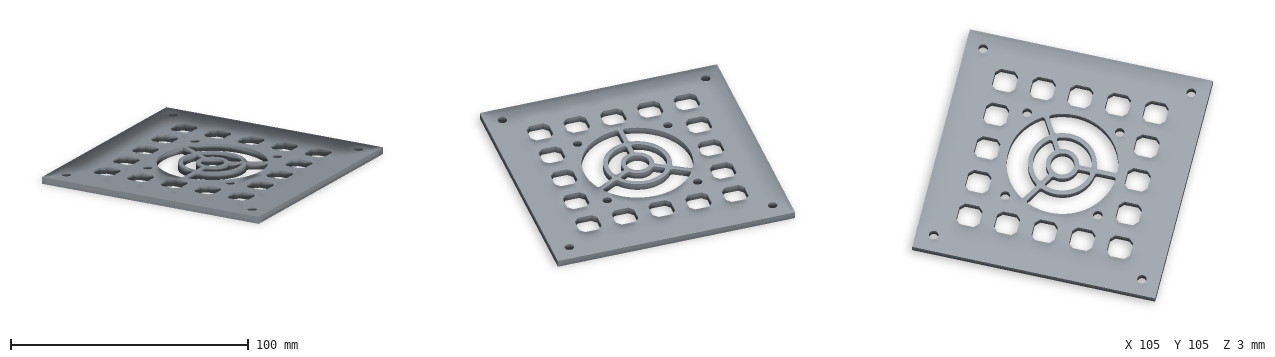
import cadquery as cq

plate_side = 105.0
plate_thickness = 3.0

screw_hole_diameter = 4.0
plate_screw_spacing = 90.0
fan_screw_spacing = 40.0

vents_per_side = 5
vent_side = 10.0
vent_corner_chamfer = 2.0
vent_frame_side = 75.0
vent_pitch = (vent_frame_side - vent_side) / (vents_per_side - 1)

bar_width = 2.0
spoke_count = 3
spoke_angle = 360 / spoke_count
hub_hole_diameter = 10.0
hub_diameter = hub_hole_diameter + 2 * bar_width
ring_inner_diameter = 25.0
ring_outer_diameter = ring_inner_diameter + 2 * bar_width
grille_diameter = 47.0
grille_corner_radius = 1.0


def prism(outline):
    """Extrude a closed outline through the plate thickness."""
    return outline.extrude(plate_thickness)


def screw_holes(spacing):
    """Four holes at the corners of a centred square."""
    corners = cq.Workplane("XY").rect(spacing, spacing, forConstruction=True).vertices()
    return prism(corners.circle(screw_hole_diameter / 2))


def vents():
    """Square openings with chamfered corners on the border cells of a square grid."""
    end = vents_per_side - 1
    centres = [
        ((column - end / 2) * vent_pitch, (row - end / 2) * vent_pitch)
        for column in range(vents_per_side)
        for row in range(vents_per_side)
        if column in (0, end) or row in (0, end)
    ]
    squares = prism(cq.Workplane("XY").pushPoints(centres).rect(vent_side, vent_side))
    return squares.edges("|Z").chamfer(vent_corner_chamfer)


def spokes():
    """Radial bars from the centre, the first one pointing along -Y."""
    spoke = prism(cq.Workplane("XY").center(0, -plate_side / 4).rect(bar_width, plate_side / 2))
    bars = spoke
    for index in range(1, spoke_count):
        bars = bars.union(spoke.rotate((0, 0, 0), (0, 0, 1), index * spoke_angle))
    return bars


def grille_openings(inner_diameter, outer_diameter):
    """Ring-shaped opening split by the spokes, with rounded corners."""
    ring = prism(cq.Workplane("XY").circle(outer_diameter / 2).circle(inner_diameter / 2))
    sectors = ring.cut(spokes())
    return sectors.edges("|Z").fillet(grille_corner_radius)


result = prism(cq.Workplane("XY").rect(plate_side, plate_side))
result = result.cut(screw_holes(plate_screw_spacing))
result = result.cut(screw_holes(fan_screw_spacing))
result = result.cut(vents())
result = result.cut(prism(cq.Workplane("XY").circle(hub_hole_diameter / 2)))
result = result.cut(grille_openings(hub_diameter, ring_inner_diameter))
result = result.cut(grille_openings(ring_outer_diameter, grille_diameter))